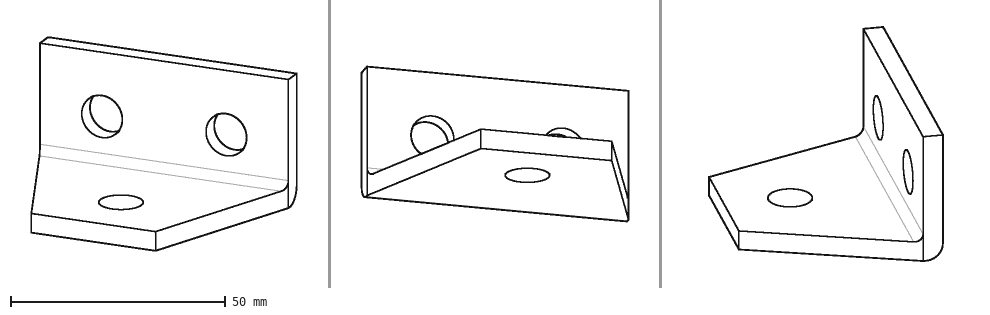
import cadquery as cq

width = 63.5
depth = 45.2
height = width / 2
thickness = 4.75

inner_radius = 2.1
outer_radius = 4.05

front_width = width / 2
hole_diameter = 10.35
wall_hole_spacing = width / 2
wall_hole_height = height / 2
base_hole_setback = 29.4


def make_bent_plate():
    """L-shaped plate with a rounded bend, full width along X."""
    base = cq.Workplane("XY").box(width, depth, thickness, centered=(True, False, False))
    wall = cq.Workplane("XY").box(width, thickness, height, centered=(True, False, False))
    plate = base.translate((0, -depth, 0)).union(wall.translate((0, -thickness, 0)))
    inner_edge = cq.selectors.NearestToPointSelector((0, -thickness, thickness))
    outer_edge = cq.selectors.NearestToPointSelector((0, 0, 0))
    plate = plate.edges("|X").edges(inner_edge).fillet(inner_radius)
    return plate.edges("|X").edges(outer_edge).fillet(outer_radius)


def make_outline():
    """Plan outline: full width across the wall, then tapering to the front."""
    points = [
        (-width / 2, 0),
        (-width / 2, -thickness),
        (-front_width / 2, -depth),
        (front_width / 2, -depth),
        (width / 2, -thickness),
        (width / 2, 0),
    ]
    return cq.Workplane("XY").polyline(points).close().extrude(height)


def make_wall_holes():
    """Pair of bores running through the wall along Y."""
    centers = [(side * wall_hole_spacing / 2, wall_hole_height) for side in (-1, 1)]
    return cq.Workplane("XZ").pushPoints(centers).circle(hole_diameter / 2).extrude(thickness)


def make_base_hole():
    """Single bore running through the base along Z."""
    center = (0, -base_hole_setback)
    return cq.Workplane("XY").center(*center).circle(hole_diameter / 2).extrude(thickness)


bracket = make_bent_plate().intersect(make_outline())
result = bracket.cut(make_wall_holes()).cut(make_base_hole())